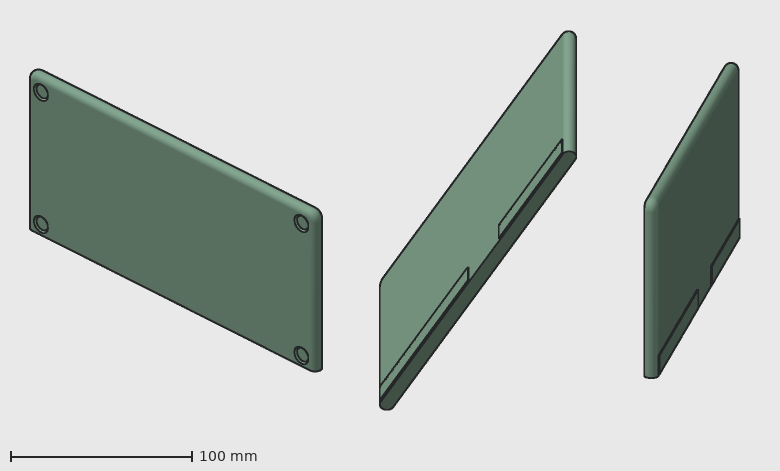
import cadquery as cq

PLATE_LENGTH = 215.0
PLATE_HEIGHT = 105.2
PLATE_THICKNESS = 8.0
CORNER_RADIUS = 6.0
EDGE_RADIUS = PLATE_THICKNESS / 2

RECESS_MOUTH_DIAMETER = 10.5
RECESS_FLOOR_DIAMETER = 8.4
RECESS_DEPTH = 1.0
RECESS_SIDE_INSET = 10.5
RECESS_TOP_INSET = 10.3
RECESS_BOTTOM_INSET = 7.0

STRIP_THICKNESS = 0.6
STRIP_HEIGHT = 11.2
STRIP_BOTTOM_INSET = 1.0
STRIP_END_INSET = PLATE_THICKNESS / 2
LEFT_STRIP_LENGTH = 71.6
RIGHT_STRIP_LENGTH = 100.0


def make_recess(x, z):
    """Tapered round pocket, narrowing from the front face inward."""
    return (
        cq.Workplane("XZ", origin=(x, 0, z))
        .circle(RECESS_MOUTH_DIAMETER / 2)
        .workplane(offset=-RECESS_DEPTH)
        .circle(RECESS_FLOOR_DIAMETER / 2)
        .loft()
    )


def rounded_bar_profile(workplane, reach):
    """Closed section from local X = 0 out to a half-round nose at the given reach along local X."""
    return (
        workplane
        .lineTo(reach - EDGE_RADIUS, 0)
        .threePointArc((reach, EDGE_RADIUS), (reach - EDGE_RADIUS, PLATE_THICKNESS))
        .lineTo(0, PLATE_THICKNESS)
        .close()
    )


def make_blank():
    """Plate outline with fully rounded sides, top and corners and a flat bottom end."""
    side_height = PLATE_HEIGHT - CORNER_RADIUS
    corner_x = PLATE_LENGTH / 2 - CORNER_RADIUS

    half_body = rounded_bar_profile(cq.Workplane("XY"), PLATE_LENGTH / 2).extrude(side_height)
    body = half_body.union(half_body.mirror("YZ"))

    top_plane = cq.Plane(origin=(corner_x, 0, side_height), xDir=(0, 0, 1), normal=(-1, 0, 0))
    top_bar = rounded_bar_profile(cq.Workplane(top_plane), CORNER_RADIUS).extrude(2 * corner_x)
    blank = body.union(top_bar)

    for x in (-corner_x, corner_x):
        corner_plane = cq.Workplane("XY", origin=(x, 0, side_height))
        corner = rounded_bar_profile(corner_plane, CORNER_RADIUS).revolve(360, (0, 0, 0), (0, 1, 0))
        blank = blank.union(corner)
    return blank.clean()


def make_plate():
    """Rounded plate with a tapered recess near each corner of its front face."""
    plate = make_blank()
    recess_x = PLATE_LENGTH / 2 - RECESS_SIDE_INSET
    for x in (-recess_x, recess_x):
        for z in (RECESS_BOTTOM_INSET, PLATE_HEIGHT - RECESS_TOP_INSET):
            plate = plate.cut(make_recess(x, z))
    return plate


def make_strip(start_x, length):
    """Flat strip lying on the back face, running toward +X from start_x."""
    return (
        cq.Workplane("XY", origin=(start_x, PLATE_THICKNESS, STRIP_BOTTOM_INSET))
        .box(length, STRIP_THICKNESS, STRIP_HEIGHT, centered=False)
    )


plate = make_plate()

strip_reach = PLATE_LENGTH / 2 - STRIP_END_INSET
strip_layout = [
    (-strip_reach, LEFT_STRIP_LENGTH),
    (strip_reach - RIGHT_STRIP_LENGTH, RIGHT_STRIP_LENGTH),
]
strips = [make_strip(start_x, length) for start_x, length in strip_layout]

result = cq.Compound.makeCompound([plate.val(), *[strip.val() for strip in strips]])